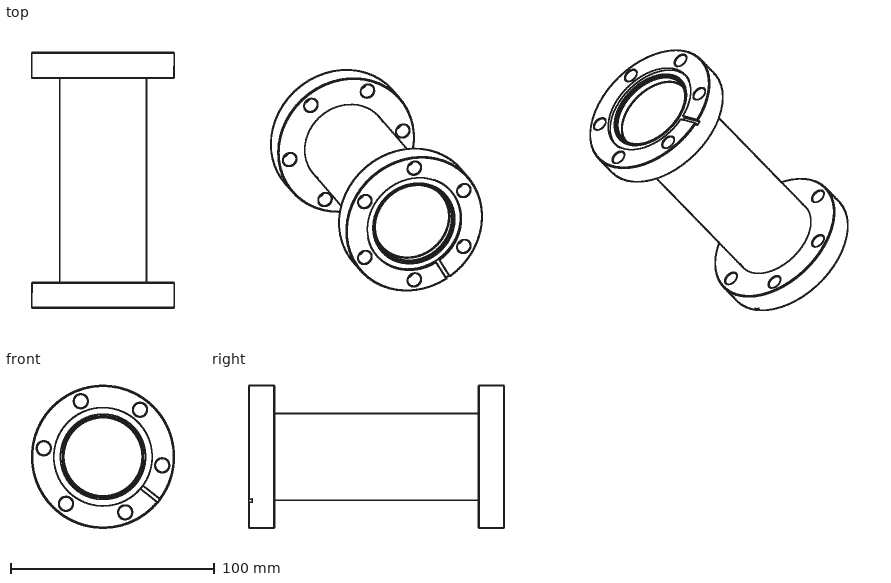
import cadquery as cq
import math


total_length = 125.4
flange_diameter = 70.0
flange_thickness = 12.7
edge_chamfer = 0.4

tube_outer_diameter = 42.7
tube_inner_diameter = 38.4
tube_socket_depth = 5.0

recess_diameter = 48.3
knife_diameter = 41.9
knife_depth = 0.6
knife_slope = 20.0
knife_inner_height = 0.6
step_diameter = 40.2
step_height = 0.5
flange_bore_diameter = 39.2

bolt_count = 6
bolt_circle_diameter = 58.7
bolt_hole_diameter = 6.7
bolt_hole_chamfer = 0.25
groove_width = 2.0
bolt_pitch = 360.0 / bolt_count
groove_offset = -2.5 * bolt_pitch

fixed_first_hole = 90.0
rotatable_first_hole = 111.8

hub_shoulder_depth = 7.7

flange_radius = flange_diameter / 2
tube_radius = tube_outer_diameter / 2
recess_radius = recess_diameter / 2
knife_radius = knife_diameter / 2
step_radius = step_diameter / 2
bore_radius = flange_bore_diameter / 2
half_length = total_length / 2
recess_depth = knife_depth + (recess_radius - knife_radius) * math.tan(math.radians(knife_slope))
groove_depth = recess_depth
seat_depth = knife_depth + knife_inner_height
step_depth = seat_depth + step_height


def revolve_about_y(points):
    """Revolve a closed (radius, depth) outline about the Y axis."""
    return cq.Workplane("XY").polyline(points).close().revolve(360, (0, 0, 0), (0, 1, 0))


seal_outline = [
    (recess_radius, recess_depth),
    (knife_radius, knife_depth),
    (knife_radius, seat_depth),
    (step_radius, seat_depth),
    (step_radius, step_depth),
    (bore_radius, step_depth),
    (bore_radius, tube_socket_depth),
    (tube_radius, tube_socket_depth),
]

rim_outline = [
    (flange_radius - edge_chamfer, flange_thickness),
    (flange_radius, flange_thickness - edge_chamfer),
    (flange_radius, edge_chamfer),
    (flange_radius - edge_chamfer, 0),
]


def turn_about_axis(cutter, angle):
    """Turn a cutter about the Y axis, from +X towards +Z."""
    return cutter.rotate((0, 0, 0), (0, 1, 0), -angle)


def bolt_hole_cutter():
    """Through hole along Y, chamfered at both flange faces."""
    hole_radius = bolt_hole_diameter / 2
    mouth_radius = hole_radius + bolt_hole_chamfer
    return revolve_about_y([
        (0, 0),
        (mouth_radius, 0),
        (hole_radius, bolt_hole_chamfer),
        (hole_radius, flange_thickness - bolt_hole_chamfer),
        (mouth_radius, flange_thickness),
        (0, flange_thickness),
    ])


def cut_bolts_and_groove(body, first_hole):
    """Cut the bolt circle and the radial leak-check groove."""
    hole = bolt_hole_cutter().translate((bolt_circle_diameter / 2, 0, 0))
    for index in range(bolt_count):
        body = body.cut(turn_about_axis(hole, first_hole + index * bolt_pitch))
    groove_start = (recess_radius + knife_radius) / 2
    groove = (
        cq.Workplane("XY")
        .box(flange_radius, groove_depth, groove_width, centered=(False, False, True))
        .translate((groove_start, 0, 0))
        .cut(cq.Workplane("XZ").circle(recess_radius).extrude(-groove_depth))
    )
    return body.cut(turn_about_axis(groove, first_hole + groove_offset))


def make_fixed_flange():
    outline = [(recess_radius, 0)] + seal_outline + [(tube_radius, flange_thickness)] + rim_outline
    return cut_bolts_and_groove(revolve_about_y(outline), fixed_first_hole)


def make_rotatable_ring():
    outline = [
        (recess_radius, 0),
        (recess_radius, hub_shoulder_depth),
        (tube_radius, hub_shoulder_depth),
        (tube_radius, flange_thickness),
    ] + rim_outline
    return cut_bolts_and_groove(revolve_about_y(outline), rotatable_first_hole)


def make_hub():
    shoulder = [(tube_radius, hub_shoulder_depth), (recess_radius, hub_shoulder_depth)]
    return revolve_about_y(seal_outline + shoulder)


def make_tube():
    tube_half_length = half_length - tube_socket_depth
    return (
        cq.Workplane("XZ", origin=(0, tube_half_length, 0))
        .circle(tube_radius)
        .circle(tube_inner_diameter / 2)
        .extrude(2 * tube_half_length)
    )


front_face = (0, -half_length, 0)
back_face = (0, half_length, 0)

tube = make_tube()
rotatable_ring = make_rotatable_ring().translate(front_face)
hub = make_hub().translate(front_face)
fixed_flange = make_fixed_flange().rotate((0, 0, 0), (0, 0, 1), 180).translate(back_face)

result = cq.Compound.makeCompound([tube.val(), rotatable_ring.val(), hub.val(), fixed_flange.val()])